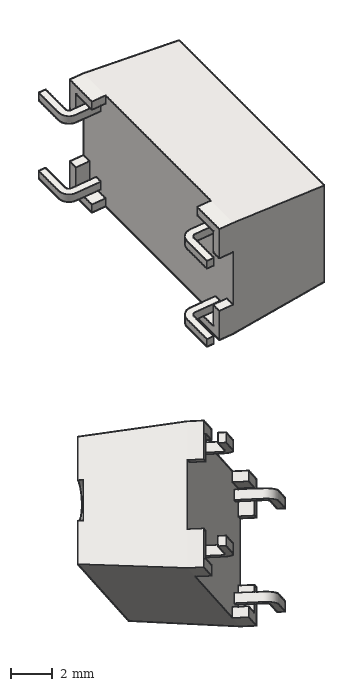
import cadquery as cq
import math

HOUSING_WIDTH = 12.8
HOUSING_HEIGHT = 7.2
HOUSING_DEPTH = 5.4
SIDE_DRAFT = 2.0
TOP_DRAFT = 5.0
BACK_WIDTH = HOUSING_WIDTH - 2 * HOUSING_DEPTH * math.tan(math.radians(SIDE_DRAFT))
BACK_HEIGHT = HOUSING_HEIGHT - 2 * HOUSING_DEPTH * math.tan(math.radians(TOP_DRAFT))

STANDOFF_LEG = 1.9
STANDOFF_WALL = 0.53
STANDOFF_DEPTH = 0.79

NOTCH_RADIUS = 1.0
NOTCH_DEPTH = 0.27

LEAD_SPAN = 14.4
LEAD_WIDTH = 0.5
LEAD_THICKNESS = 0.4
LEAD_Z = 2.53
LEAD_REACH = 2.3
LEAD_BELOW_STANDOFF = 1.25
LEAD_DROP = STANDOFF_DEPTH + LEAD_BELOW_STANDOFF
BEND_INNER_RADIUS = 0.2
BEND_OUTER_RADIUS = BEND_INNER_RADIUS + LEAD_THICKNESS

SIDES = (-1, 1)


def make_block():
    """Block tapering from Y = 0 to its smaller back face."""
    return (
        cq.Workplane("XZ")
        .rect(HOUSING_WIDTH, HOUSING_HEIGHT)
        .workplane(offset=-HOUSING_DEPTH)
        .rect(BACK_WIDTH, BACK_HEIGHT)
        .loft(ruled=True)
    )


def make_standoff(side_x, side_z):
    """L-shaped foot hugging the corner chosen by the two signs."""
    corner_x = side_x * HOUSING_WIDTH / 2
    corner_z = side_z * HOUSING_HEIGHT / 2
    leg_end_x = corner_x - side_x * STANDOFF_LEG
    leg_end_z = corner_z - side_z * STANDOFF_LEG
    inside_x = corner_x - side_x * STANDOFF_WALL
    inside_z = corner_z - side_z * STANDOFF_WALL
    return (
        cq.Workplane("XZ")
        .moveTo(corner_x, corner_z)
        .lineTo(leg_end_x, corner_z)
        .lineTo(leg_end_x, inside_z)
        .lineTo(inside_x, inside_z)
        .lineTo(inside_x, leg_end_z)
        .lineTo(corner_x, leg_end_z)
        .close()
        .extrude(STANDOFF_DEPTH)
    )


def make_notch():
    """Shallow cylinder to cut from the back face."""
    return (
        cq.Workplane("XZ", origin=(0, HOUSING_DEPTH, 0))
        .center(-BACK_WIDTH / 2, 0)
        .circle(NOTCH_RADIUS)
        .extrude(NOTCH_DEPTH)
    )


def make_housing():
    """Block with its four standoffs and the index notch."""
    body = make_block().cut(make_notch())
    for side_x in SIDES:
        for side_z in SIDES:
            body = body.union(make_standoff(side_x, side_z))
    return body


def make_lead(side_x, side_z):
    """Bent strip rising from the large face, with its foot turned outward."""
    tip_x = side_x * LEAD_SPAN / 2
    inner_x = tip_x - side_x * LEAD_REACH
    outer_x = inner_x + side_x * LEAD_THICKNESS
    bend_x = inner_x + side_x * BEND_OUTER_RADIUS
    foot_y = -LEAD_DROP
    foot_top_y = foot_y + LEAD_THICKNESS
    bend_y = foot_y + BEND_OUTER_RADIUS
    diagonal = math.sqrt(0.5)

    def bend_middle(radius):
        return (bend_x - side_x * radius * diagonal, bend_y - radius * diagonal)

    return (
        cq.Workplane("XY", origin=(0, 0, side_z * LEAD_Z))
        .moveTo(inner_x, 0)
        .lineTo(inner_x, bend_y)
        .threePointArc(bend_middle(BEND_OUTER_RADIUS), (bend_x, foot_y))
        .lineTo(tip_x, foot_y)
        .lineTo(tip_x, foot_top_y)
        .lineTo(bend_x, foot_top_y)
        .threePointArc(bend_middle(BEND_INNER_RADIUS), (outer_x, bend_y))
        .lineTo(outer_x, 0)
        .close()
        .extrude(LEAD_WIDTH / 2, both=True)
    )


housing = make_housing()

leads = []
for lead_side_x in SIDES:
    for lead_side_z in SIDES:
        leads.append(make_lead(lead_side_x, lead_side_z).solids().val())

result = cq.Compound.makeCompound([housing.solids().val(), *leads])